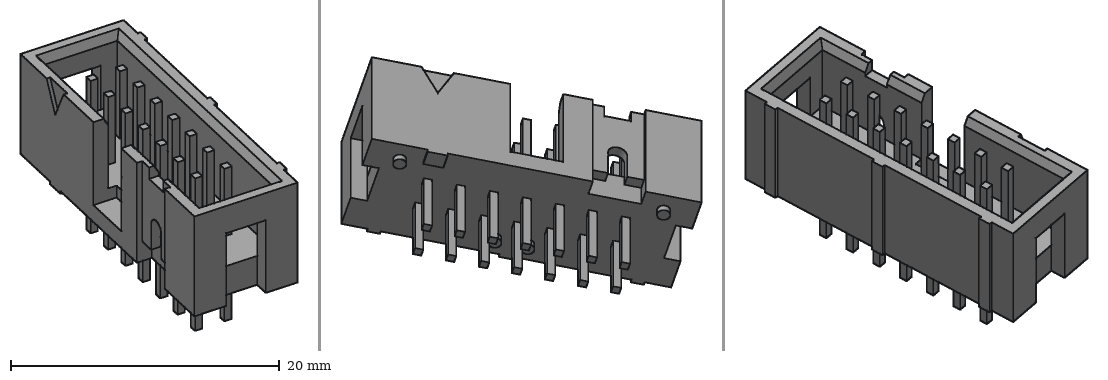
import cadquery as cq


length = 25.4
depth = 8.95
height = 8.95
front = -depth / 2
back = depth / 2

floor_height = 2.6
end_wall = 1.27
side_wall = 1.3
lead_in_end = 0.48
lead_in_side = 0.4
lead_in_height = 0.69
cavity_length = length - 2 * end_wall
cavity_depth = depth - 2 * side_wall

pin_columns = 7
pin_rows = 2
pitch = 2.55
pin_width = 0.64
pin_below = 5.0
pin_top_gap = 0.3
first_pin_x = -pitch * (pin_columns - 1) / 2

key_width = 4.06
key_drop = 7.42
key_depth = 2.0

recess_x = 6.35
recess_width = 4.06
recess_depth = 0.45
undercut_height = 1.75
notch_width = 2.05
notch_drop = 1.02
arch_width = 1.47
arch_drop = 4.2

window_width = 3.43
window_drop = 2.45

triangle_width = 2.5
triangle_drop = 2.55
triangle_depth = 0.3
tab_width = 1.55
tab_height = 0.23

rib_count = 3
rib_width = 1.02
rib_projection = 0.25
rib_spacing = 10.15
peg_diameter = 1.0
peg_height = 0.5
peg_y = 2.97
outer_peg_x = 10.15
inner_peg_x = 1.27


def block(x_center, x_size, y_from, y_to, z_from, z_to):
    """Box centred at x_center, spanning the given Y and Z ranges."""
    box = cq.Workplane("XY").box(x_size, y_to - y_from, z_to - z_from, centered=(True, False, False))
    return box.translate((x_center, y_from, z_from))


def cavity():
    well = block(0, cavity_length, -cavity_depth / 2, cavity_depth / 2, floor_height, height)
    lead_in = (
        cq.Workplane("XY", origin=(0, 0, height - lead_in_height))
        .rect(cavity_length, cavity_depth)
        .workplane(offset=lead_in_height)
        .rect(cavity_length + 2 * lead_in_end, cavity_depth + 2 * lead_in_side)
        .loft(ruled=True)
    )
    return well.union(lead_in)


def key_slot():
    return block(0, key_width, front, front + key_depth, height - key_drop, height)


def front_recess():
    inner_face = front + side_wall
    recess = block(recess_x, recess_width, front, front + recess_depth, 0, height)
    undercut = block(recess_x, recess_width, front, inner_face, 0, undercut_height)
    notch = block(recess_x, notch_width, front, inner_face, height - notch_drop, height)
    arch_center_z = height - arch_drop - arch_width / 2
    window = block(recess_x, arch_width, front, inner_face, undercut_height, arch_center_z)
    arch = (
        cq.Workplane("XZ", origin=(recess_x, front, arch_center_z))
        .circle(arch_width / 2)
        .extrude(-side_wall)
    )
    return recess.union(undercut).union(notch).union(window).union(arch)


def end_window(side):
    x_center = side * (length - end_wall) / 2
    return block(x_center, end_wall, -window_width / 2, window_width / 2, 0, height - window_drop)


def pin_one_triangle():
    return (
        cq.Workplane("XZ", origin=(first_pin_x, front, height))
        .polyline([(-triangle_width / 2, 0), (triangle_width / 2, 0), (0, -triangle_drop)])
        .close()
        .extrude(-triangle_depth)
    )


def pin_one_tab():
    return block(first_pin_x, tab_width, front, front + side_wall, -tab_height, 0)


def back_ribs():
    return (
        cq.Workplane("XY", origin=(0, back + rib_projection / 2, 0))
        .rarray(rib_spacing, 0.25, rib_count, 1)
        .rect(rib_width, rib_projection)
        .extrude(height)
    )


def standoff_pegs():
    centers = []
    for side in (-1, 1):
        centers.append((side * outer_peg_x, -peg_y))
        centers.append((side * inner_peg_x, peg_y))
    return cq.Workplane("XY").pushPoints(centers).circle(peg_diameter / 2).extrude(-peg_height)


def contact_pins():
    return (
        cq.Workplane("XY", origin=(0, 0, -pin_below))
        .rarray(pitch, pitch, pin_columns, pin_rows)
        .rect(pin_width, pin_width)
        .extrude(pin_below + height - pin_top_gap)
    )


housing = block(0, length, front, back, 0, height)
housing = housing.cut(cavity()).cut(key_slot()).cut(front_recess()).cut(pin_one_triangle())
for end in (-1, 1):
    housing = housing.cut(end_window(end))

result = housing.union(back_ribs()).union(pin_one_tab()).union(standoff_pegs()).union(contact_pins())